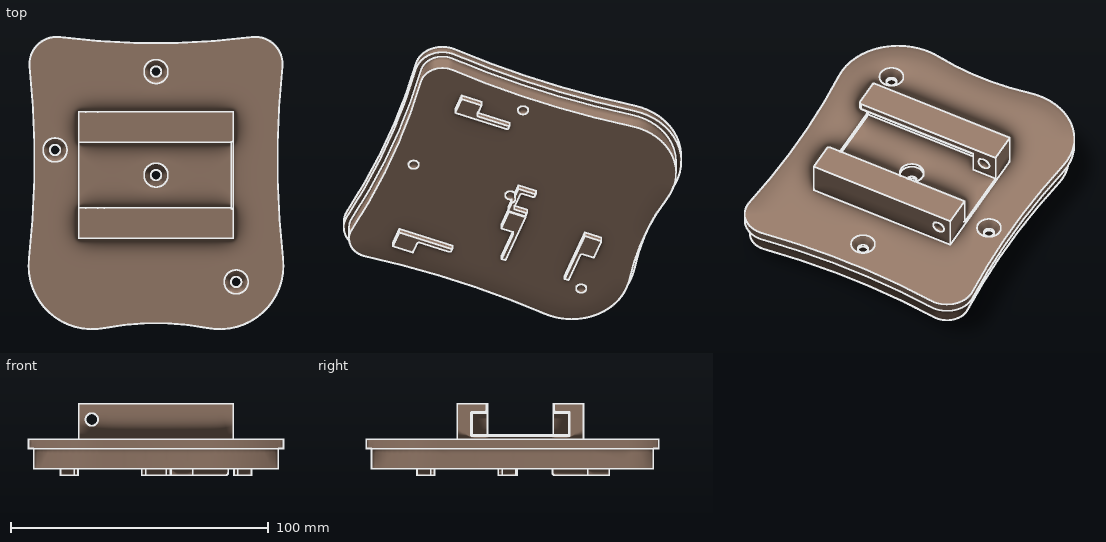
import cadquery as cq
import math

plate_thickness = 3.7
base_thickness = 7.8
clip_height = 2.5
rail_height = 13.7

corner_top_x, corner_top_y, corner_top_radius = 38.5, 46.0, 10.7
corner_bottom_x, corner_bottom_y, corner_bottom_radius = 24.7, -32.0, 24.7
side_radius = 340.2
top_radius = 289.2
bottom_radius = 104.3
base_inset = 2.0

screw_diameter = 4.0
countersink_diameter = 9.3
countersink_angle = 90.0
rail_center_y = 3.1
screw_positions = [(0, 43.2), (-39.1, 12.8), (31.1, -38.3), (0, rail_center_y)]

rail_length = 60.0
rail_width = 49.0
channel_width = 25.4
floor_height = 1.6
lip_thickness = 2.7
lip_bevel_width = 0.5
lip_bevel_height = 0.9
groove_depth = 6.0
stop_length = 9.9
mouth_length = 0.9
mouth_flare = 0.5
pin_diameter = 4.8
pin_from_end = 5.1
pin_height = 7.6

wall = 1.6
inner_fillet = 0.8
tip_fillet = 1.0
clip_length = 22.1
clip_block_length = 8.3
clip_width = 6.9
side_clip_x, side_clip_y = 30.2, 37.5
cross_clip_x = 5.9
cross_clip_front_y, cross_clip_rear_y = -30.2, -5.6
fork_width = 11.1
fork_length = 7.4
fork_tip_y = -5.6

plate_top = plate_thickness
floor_z = plate_top + floor_height
rail_top = plate_top + rail_height
clip_bottom = -base_thickness - clip_height
rail_end_x = rail_length / 2


def point_toward(start, target, distance):
    """Point at the given distance from start, in the direction of target."""
    length = math.dist(start, target)
    return tuple(s + (t - s) * distance / length for s, t in zip(start, target))


def side_arc_center():
    """Centre of the left concave arc that touches both left corner circles from outside."""
    upper = (-corner_top_x, corner_top_y)
    lower = (-corner_bottom_x, corner_bottom_y)
    span = math.dist(upper, lower)
    to_upper = side_radius + corner_top_radius
    to_lower = side_radius + corner_bottom_radius
    along = (to_upper**2 - to_lower**2 + span**2) / (2 * span)
    offset = math.sqrt(to_upper**2 - along**2)
    foot_x, foot_y = point_toward(upper, lower, along)
    unit_x, unit_y = (lower[0] - upper[0]) / span, (lower[1] - upper[1]) / span
    return foot_x + unit_y * offset, foot_y - unit_x * offset


def outline(inset):
    """Closed outline of the plate, moved inward by the inset."""
    top_corner = (-corner_top_x, corner_top_y)
    bottom_corner = (-corner_bottom_x, corner_bottom_y)
    top_r = corner_top_radius - inset
    bottom_r = corner_bottom_radius - inset
    top_center_y = corner_top_y + math.sqrt((top_radius + corner_top_radius) ** 2 - corner_top_x**2)
    bottom_center_y = corner_bottom_y - math.sqrt(
        (bottom_radius + corner_bottom_radius) ** 2 - corner_bottom_x**2
    )
    side_center = side_arc_center()

    top_joint = point_toward(top_corner, (0, top_center_y), top_r)
    upper_joint = point_toward(top_corner, side_center, top_r)
    lower_joint = point_toward(bottom_corner, side_center, bottom_r)
    bottom_joint = point_toward(bottom_corner, (0, bottom_center_y), bottom_r)

    diagonal = math.sqrt(0.5)
    top_corner_mid = (top_corner[0] - top_r * diagonal, top_corner[1] + top_r * diagonal)
    bottom_corner_mid = (bottom_corner[0] - bottom_r * diagonal, bottom_corner[1] - bottom_r * diagonal)
    side_mid = point_toward(side_center, (0, 0), side_radius + inset)
    top_mid = (0, top_center_y - top_radius - inset)
    bottom_mid = (0, bottom_center_y + bottom_radius + inset)

    def mirrored(point):
        return -point[0], point[1]

    return (
        cq.Workplane("XY")
        .moveTo(*top_joint)
        .threePointArc(top_corner_mid, upper_joint)
        .threePointArc(side_mid, lower_joint)
        .threePointArc(bottom_corner_mid, bottom_joint)
        .threePointArc(bottom_mid, mirrored(bottom_joint))
        .threePointArc(mirrored(bottom_corner_mid), mirrored(lower_joint))
        .threePointArc(mirrored(side_mid), mirrored(upper_joint))
        .threePointArc(mirrored(top_corner_mid), mirrored(top_joint))
        .threePointArc(top_mid, top_joint)
        .close()
    )


def box(x_start, x_end, y_start, y_end, z_start, z_end):
    """Box between the given limits."""
    size = (x_end - x_start, y_end - y_start, z_end - z_start)
    return cq.Workplane("XY").box(*size, centered=False).translate((x_start, y_start, z_start))


def slot_profile(x):
    """T-shaped section of the channel and its grooves, drawn in the plane at x."""
    half_channel = channel_width / 2
    half_groove = half_channel + groove_depth
    lip_z = rail_top - lip_thickness
    right_side = [
        (half_groove, floor_z),
        (half_groove, lip_z - lip_bevel_height),
        (half_channel + lip_bevel_width, lip_z - lip_bevel_height),
        (half_channel, lip_z),
        (half_channel, rail_top + mouth_flare),
    ]
    left_side = [(-y, z) for y, z in reversed(right_side)]
    return cq.Workplane("YZ", origin=(x, 0, 0)).polyline(right_side + left_side).close()


def slide_rail():
    """Block with an undercut channel that opens at both X ends and a cross pin hole."""
    block = box(-rail_end_x, rail_end_x, -rail_width / 2, rail_width / 2, plate_top, rail_top)
    channel = box(-rail_end_x, rail_end_x, -channel_width / 2, channel_width / 2, floor_z, rail_top)
    slot = slot_profile(stop_length - rail_end_x).extrude(rail_length - stop_length)

    flare_angle = math.degrees(math.atan2(mouth_flare, mouth_length))
    mouth = slot_profile(rail_end_x - mouth_length).extrude(mouth_length, taper=-flare_angle)

    pin_hole = (
        cq.Workplane("XZ")
        .center(pin_from_end - rail_end_x, plate_top + pin_height)
        .circle(pin_diameter / 2)
        .extrude(rail_width / 2, both=True)
    )
    rail = block.cut(channel).cut(slot).cut(mouth).cut(pin_hole)
    return rail.translate((0, rail_center_y, 0))


def countersink_tool():
    """Screw hole with a cone up to the plate top and a straight wall up to the rail floor."""
    screw_r = screw_diameter / 2
    head_r = countersink_diameter / 2
    cone_depth = (head_r - screw_r) / math.tan(math.radians(countersink_angle / 2))
    return (
        cq.Workplane("XZ")
        .polyline(
            [
                (0, 0),
                (screw_r, 0),
                (screw_r, plate_top - cone_depth),
                (head_r, plate_top),
                (head_r, floor_z),
                (0, floor_z),
            ]
        )
        .close()
        .revolve(360, (0, 0, 0), (0, 1, 0))
    )


def make_plate():
    plate = outline(0).extrude(plate_thickness).union(slide_rail())
    for x, y in screw_positions:
        plate = plate.cut(countersink_tool().translate((x, y, 0)))
    return plate


def clip():
    """Clip along +X from the origin: an arm at Y = 0 and a wider block at its root, on the -Y side."""
    shape = (
        cq.Workplane("XY", origin=(0, 0, clip_bottom))
        .polyline(
            [
                (0, 0),
                (clip_length, 0),
                (clip_length, -wall),
                (clip_block_length, -wall),
                (clip_block_length, -clip_width),
                (0, -clip_width),
            ]
        )
        .close()
        .extrude(clip_height)
    )
    inner_corner = cq.selectors.NearestToPointSelector(
        (clip_block_length, -wall, clip_bottom + clip_height / 2)
    )
    shape = shape.edges(inner_corner).fillet(inner_fillet)
    return shape.faces(">X").edges("<Z").fillet(tip_fillet)


def fork():
    """U-shaped clip whose two prongs point toward -Y."""
    half = fork_width / 2
    rear_y = fork_tip_y + fork_length
    shape = box(-half, half, fork_tip_y, rear_y, clip_bottom, -base_thickness)
    gap = box(wall - half, half - wall, fork_tip_y, rear_y - wall, clip_bottom, -base_thickness)
    gap = gap.edges("|Z and >Y").fillet(inner_fillet)
    return shape.cut(gap).faces("<Y").edges("<Z").fillet(tip_fillet)


def make_base():
    base = outline(base_inset).extrude(-base_thickness)

    left_clip = clip().rotate((0, 0, 0), (0, 0, 1), -90).translate((-side_clip_x, side_clip_y, 0))
    right_clip = left_clip.mirror("YZ")
    front_clip = clip().translate((cross_clip_x, cross_clip_front_y, 0))
    rear_clip = clip().mirror("XZ").translate((cross_clip_x, cross_clip_rear_y, 0))
    for part in (left_clip, right_clip, front_clip, rear_clip, fork()):
        base = base.union(part)

    screw_holes = (
        cq.Workplane("XY", origin=(0, 0, clip_bottom))
        .pushPoints(screw_positions)
        .circle(screw_diameter / 2)
        .extrude(-clip_bottom)
    )
    return base.cut(screw_holes)


plate = make_plate()
base = make_base()
result = cq.Compound.makeCompound([plate.val(), base.val()])